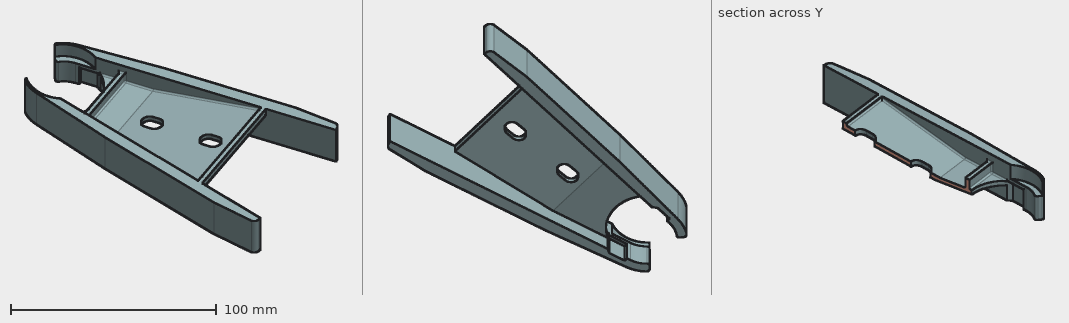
import cadquery as cq
LENGTH = 147.1
HALF_WIDTH = 39.06
HEIGHT = 21.9

ARM_SLOPE = 0.15
INNER_Y_AT_ORIGIN = 13.1
OUTER_BENDS = [(9.5, 19.3), (53.8, 27.7), (122.1, 38.0)]
TAIL_ROUND_X = 144.2
TAIL_ROUND_MID = (146.2, 38.0)
TAIL_ROUND_END = (146.8, 36.3)

HOOK_START_X = 11.0
HOOK_INNER_END = (3.5, 11.2)
HOOK_ROUND_MID = (2.5, 10.9)
HOOK_FACE_INNER = (1.6, 11.3)
HOOK_FACE_OUTER = (0.3, 12.8)
HOOK_NOSE = (0.0, 13.8)
HOOK_OUTER_END = (0.6, 15.2)

SEAT_X = 13.0
SEAT_RADIUS = 18.4
SEAT_FLOOR_Z = 13.8
RELIEF_RADIUS = 20.0
RELIEF_DEPTH = 1.8

FLOOR_FRONT_X = 23.8
FLOOR_Z = 11.5
PLATE_THICKNESS = 2.6
RAMP_START_X = 52.0
UNDERSIDE_BEND_X = 54.9
RAMP_END_Z = 20.3
PLATE_OVERLAP = 1.5

RIB_X = 34.3
RIB_TOP_Z = 17.0
WALL_X = 107.8
WEB_THICKNESS = 2.6
FILLET = 0.9

SLOT_CENTERS = [63.7, 97.1]
SLOT_LENGTH = 11.3
SLOT_WIDTH = 7.7

TOLERANCE = 0.01


def inner_y(x):
    """Half distance between the inner arm faces at x."""
    return INNER_Y_AT_ORIGIN + ARM_SLOPE * x


def ramp_z(x):
    """Height of the ramp's upper face at x."""
    slope = (RAMP_END_Z - FLOOR_Z) / (WALL_X - RAMP_START_X)
    return FLOOR_Z + (x - RAMP_START_X) * slope


def make_arm():
    """Arm on the +Y side, full height."""
    outer_start, *outer_rest = OUTER_BENDS
    first_bend = outer_rest[0]
    outer_direction = cq.Vector(outer_start[0] - first_bend[0], outer_start[1] - first_bend[1], 0)
    hook_outer = cq.Edge.makeTangentArc(
        cq.Vector(*outer_start, 0), outer_direction, cq.Vector(*HOOK_OUTER_END, 0)
    ).positionAt(0.5)
    return (
        cq.Workplane("XY")
        .moveTo(LENGTH, inner_y(LENGTH))
        .lineTo(HOOK_START_X, inner_y(HOOK_START_X))
        .tangentArcPoint(HOOK_INNER_END, relative=False)
        .threePointArc(HOOK_ROUND_MID, HOOK_FACE_INNER)
        .lineTo(*HOOK_FACE_OUTER)
        .threePointArc(HOOK_NOSE, HOOK_OUTER_END)
        .threePointArc((hook_outer.x, hook_outer.y), outer_start)
        .polyline(outer_rest + [(TAIL_ROUND_X, HALF_WIDTH)], includeCurrent=True)
        .threePointArc(TAIL_ROUND_MID, TAIL_ROUND_END)
        .close()
        .extrude(HEIGHT)
    )


def make_web():
    """Floor plate, cross rib and back wall, from one side profile trimmed to the space between the arms."""
    wall_back_x = WALL_X + WEB_THICKNESS
    underside_z = FLOOR_Z - PLATE_THICKNESS
    profile = (
        cq.Workplane("XZ")
        .polyline([
            (FLOOR_FRONT_X, underside_z),
            (UNDERSIDE_BEND_X, underside_z),
            (wall_back_x, underside_z + ramp_z(wall_back_x) - ramp_z(UNDERSIDE_BEND_X)),
            (wall_back_x, HEIGHT),
            (WALL_X, HEIGHT),
            (WALL_X, ramp_z(WALL_X)),
            (RAMP_START_X, FLOOR_Z),
            (RIB_X + WEB_THICKNESS, FLOOR_Z),
            (RIB_X + WEB_THICKNESS, RIB_TOP_Z),
            (RIB_X, RIB_TOP_Z),
            (RIB_X, FLOOR_Z),
            (FLOOR_FRONT_X, FLOOR_Z),
        ])
        .close()
        .extrude(HALF_WIDTH, both=True)
    )
    front_y = inner_y(FLOOR_FRONT_X) + PLATE_OVERLAP
    back_y = inner_y(wall_back_x) + PLATE_OVERLAP
    footprint = (
        cq.Workplane("XY")
        .polyline([(FLOOR_FRONT_X, -front_y), (wall_back_x, -back_y), (wall_back_x, back_y), (FLOOR_FRONT_X, front_y)])
        .close()
        .extrude(HEIGHT)
    )
    return profile.intersect(footprint)


def make_relief():
    """Cutter below the seat: rounds the floor's front edge and thins the arms beside it."""
    back_x = SEAT_X + RELIEF_RADIUS
    front_y = inner_y(SEAT_X) + RELIEF_DEPTH
    back_y = inner_y(back_x) + RELIEF_DEPTH
    between_thinned_arms = (
        cq.Workplane("XY")
        .polyline([(SEAT_X, -front_y), (back_x, -back_y), (back_x, back_y), (SEAT_X, front_y)])
        .close()
        .extrude(FLOOR_Z)
    )
    round_relief = cq.Workplane("XY").center(SEAT_X, 0).circle(RELIEF_RADIUS).extrude(FLOOR_Z)
    return round_relief.intersect(between_thinned_arms)


def is_web_corner(edge):
    """True for the inside edges where floor, rib, back wall and arms meet."""
    center = edge.Center()
    box = edge.BoundingBox()
    on_arm = abs(abs(center.y) - inner_y(center.x)) < TOLERANCE
    on_floor = abs(center.z - max(FLOOR_Z, ramp_z(center.x))) < TOLERANCE
    crosses_floor = center.x > RIB_X - TOLERANCE and box.xlen < TOLERANCE and box.ylen > 2 * inner_y(RIB_X) - TOLERANCE
    at_bend = abs(center.x - RAMP_START_X) < TOLERANCE
    along_rib_end = RIB_X - TOLERANCE < center.x < RIB_X + WEB_THICKNESS + TOLERANCE
    below_rib_top = FLOOR_Z < center.z < RIB_TOP_Z + TOLERANCE
    rib_end = on_arm and along_rib_end and below_rib_top
    return rib_end or on_floor and not at_bend and (on_arm or crosses_floor)


arm = make_arm()
body = arm.union(arm.mirror("XZ")).union(make_web())

web_corners = [edge for edge in body.edges().vals() if is_web_corner(edge)]
body = body.newObject(web_corners).fillet(FILLET).cut(make_relief())

seat = cq.Workplane("XY").center(SEAT_X, 0).circle(SEAT_RADIUS).extrude(HEIGHT)
body = body.cut(seat.translate((0, 0, SEAT_FLOOR_Z)))

slots = (
    cq.Workplane("XY")
    .pushPoints([(x, 0) for x in SLOT_CENTERS])
    .slot2D(SLOT_LENGTH, SLOT_WIDTH)
    .extrude(HEIGHT)
)
result = body.cut(slots)